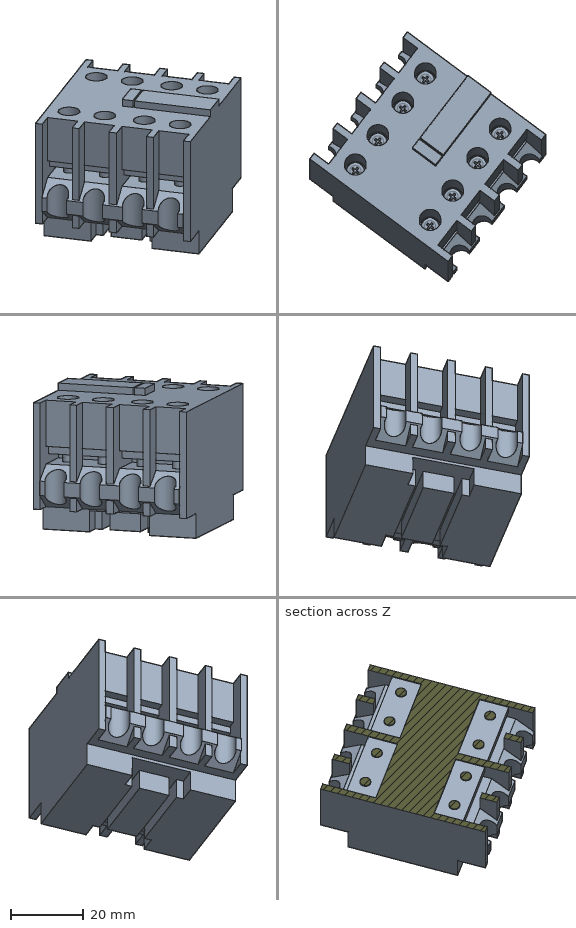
import cadquery as cq


width = 45.0
terminal_span = 49.0
housing_length = 48.1
core_length = 38.0
base_length = 32.0
base_height = 6.95
housing_top = 37.0
side_wall = 2.0

outer_partition_x = 10.8
outer_partition_width = 2.0
middle_partition_width = 2.25

pole_positions = (-16.1, -5.75, 5.75, 16.1)
screw_y = 13.0
hole_radius = 3.0

ledge_z = 19.0
tip_top_z = 15.1
tip_bottom_z = 11.02
groove_center_y = 23.5
groove_radius = hole_radius

chamber_roof_z = 23.95
chamber_depth = 10.5
plate_setback = 2.0
plate_bottom_z = 21.55
plate_thickness = 2.0

shank_radius = 1.5
head_radius = 2.55
head_height = 1.95
head_rounding = 1.05
hole_floor_z = 25.95
slot_length = 2.05
slot_width = 0.5
slot_depth = 0.5

recess_width = 17.65
recess_top_z = 6.0
recess_depth = 4.9
slot_inner_x = 4.45
slot_outer_x = 6.75

tab_height = 2.0
tab_width = 8.1
tab_center_y = -1.05
tab_start_x = -3.1
tab_gap_start_x = 0.0
tab_gap = 0.45

core_face_y = core_length / 2
chamber_back_y = chamber_depth - core_face_y
tip_y = terminal_span / 2
inner_width = width - 2 * side_wall


def block(x_range, y_range, z_range):
    """Axis-aligned box given by its (low, high) limits."""
    low = cq.Vector(x_range[0], y_range[0], z_range[0])
    high = cq.Vector(x_range[1], y_range[1], z_range[1])
    size = high - low
    return cq.Workplane(cq.Solid.makeBox(size.x, size.y, size.z, low))


def centred(size):
    return (-size / 2, size / 2)


def cylinder(x, y, radius, z_low, z_high):
    return cq.Workplane("XY", origin=(x, y, z_low)).circle(radius).extrude(z_high - z_low)


def make_walls():
    """Side walls and partitions running the full housing length."""
    half_width = width / 2
    wall_center = half_width - side_wall / 2
    walls = (
        (-wall_center, side_wall),
        (-outer_partition_x, outer_partition_width),
        (0, middle_partition_width),
        (outer_partition_x, outer_partition_width),
        (wall_center, side_wall),
    )
    body = None
    for x, thickness in walls:
        wall = block(
            (x - thickness / 2, x + thickness / 2),
            centred(housing_length),
            (base_height, housing_top),
        )
        body = wall if body is None else body.union(wall)
    return body


def make_terminal_row():
    """Wedge-nosed terminal bar on the -Y end, with one wire groove per pole."""
    profile = [
        (-core_face_y, base_height),
        (-tip_y, tip_bottom_z),
        (-tip_y, tip_top_z),
        (-core_face_y, ledge_z),
    ]
    row = (
        cq.Workplane("YZ", origin=(-inner_width / 2, 0, 0))
        .polyline(profile)
        .close()
        .extrude(inner_width)
    )
    for x in pole_positions:
        row = row.cut(cylinder(x, -groove_center_y, groove_radius, base_height, ledge_z))
    return row


def both_pole_pairs(y_range, z_range):
    """Pair of boxes between the middle partition and the side walls, one per two poles."""
    pair = block((middle_partition_width / 2, inner_width / 2), y_range, z_range)
    return pair.union(pair.mirror("YZ"))


def make_chambers():
    """Open spaces above the terminal ledge on the -Y end, each shared by two poles."""
    return both_pole_pairs((-core_face_y, chamber_back_y), (ledge_z, chamber_roof_z))


def make_plates():
    """Clamp plates on the -Y end, each filling its chamber from side to side."""
    y_range = (plate_setback - core_face_y, chamber_back_y)
    z_range = (plate_bottom_z, plate_bottom_z + plate_thickness)
    return both_pole_pairs(y_range, z_range)


def make_screw_holes():
    """Access holes down to the screw heads on the -Y end."""
    holes = cq.Workplane("XY")
    for x in pole_positions:
        holes = holes.add(cylinder(x, -screw_y, hole_radius, hole_floor_z, housing_top))
    return holes.combine()


def make_screw(x):
    """Round-headed cross-slot screw standing on the terminal ledge."""
    head_top = hole_floor_z + head_height
    head = cylinder(x, -screw_y, head_radius, hole_floor_z, head_top)
    head = head.faces(">Z").edges().fillet(head_rounding)
    slot_floor = cq.Workplane("XY", origin=(x, -screw_y, head_top - slot_depth))
    for size_x, size_y in ((slot_length, slot_width), (slot_width, slot_length)):
        head = head.cut(slot_floor.rect(size_x, size_y).extrude(slot_depth))
    shank = cylinder(x, -screw_y, shank_radius, ledge_z, hole_floor_z)
    return head.union(shank)


def cut_latch_openings(body):
    """Recess in each Y face of the base and two slots right through along Y."""
    half_base = base_length / 2
    recess = block(
        centred(recess_width),
        (-half_base, recess_depth - half_base),
        (0, recess_top_z),
    )
    body = body.cut(recess).cut(recess.mirror("XZ"))
    slot = block((slot_inner_x, slot_outer_x), centred(base_length), (0, recess_top_z))
    return body.cut(slot).cut(slot.mirror("YZ"))


def make_tab():
    """Raised strip on top, split by a narrow gap."""
    z_range = (housing_top, housing_top + tab_height)
    y_range = (tab_center_y - tab_width / 2, tab_center_y + tab_width / 2)
    short_part = block((tab_start_x, tab_gap_start_x), y_range, z_range)
    long_part = block((tab_gap_start_x + tab_gap, width / 2), y_range, z_range)
    return short_part, long_part


base = block(centred(width), centred(base_length), (0, base_height))
core = block(centred(width), centred(core_length), (base_height, housing_top))
result = core.union(make_walls()).union(cut_latch_openings(base))

for opening in (make_chambers(), make_screw_holes()):
    result = result.cut(opening).cut(opening.mirror("XZ"))

end_parts = [make_terminal_row(), make_plates()]
end_parts += [make_screw(x) for x in pole_positions]
for part in end_parts:
    result = result.union(part).union(part.mirror("XZ"))

for part in make_tab():
    result = result.union(part)